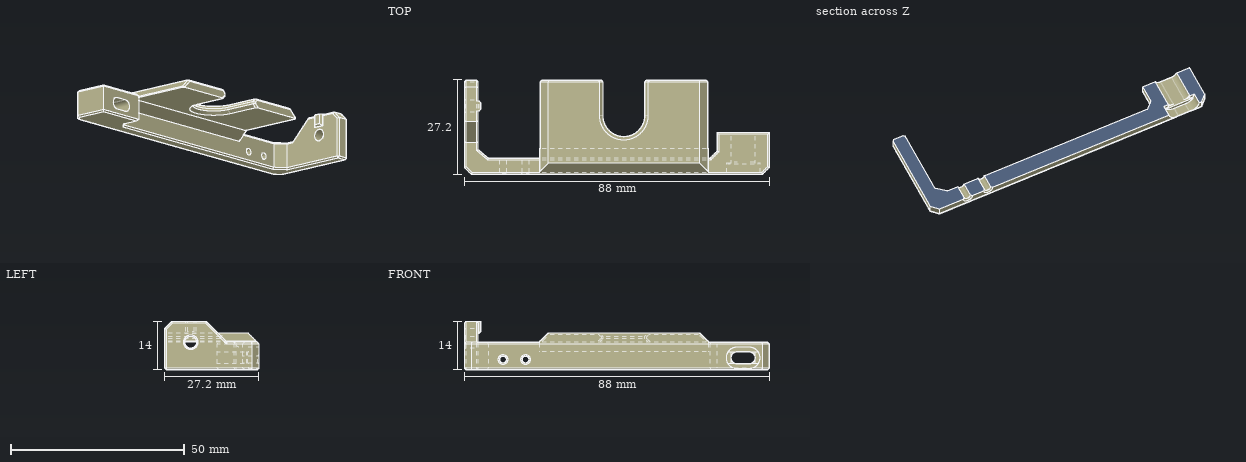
import cadquery as cq

length = 88.0
depth = 27.2
wall_height = 14.0
bar_height = 8.0
bar_thickness = 4.7
edge_chamfer = 0.5
corner_chamfer = 2.0

wall_thickness = 4.0
wall_back_chamfer = 2.0
wall_slope_top_y = 15.2
inner_corner_run = 2.9
inner_corner_rise = 2.45

pad_start_x = 72.9
pad_depth = 12.1
pad_corner_leg = 2.0

plate_center_x = 46.05
plate_width = 48.4
plate_top = 10.7
plate_rim = 0.35
plate_start_x = plate_center_x - plate_width / 2
plate_end_x = plate_center_x + plate_width / 2
gusset_leg = 2.7
gusset_width = 48.8

notch_radius = 6.0
notch_chamfer = 1.0
notch_center_x = 46.0
notch_center_y = 16.9

wall_hole_diameter = 3.4
wall_hole_y = 19.7
wall_hole_z = 8.0
wall_hole_chamfer = 0.4
rib_width = 3.0
rib_reach = 0.8
rib_bottom = 10.5
rib_chamfer = 0.6

small_hole_diameter = 1.9
small_hole_first_x = 11.15
small_hole_pitch = 6.5
small_hole_count = 2
small_hole_z = 3.0
small_hole_chamfer = 0.45

slot_center_x = 80.4
slot_center_z = 3.5
slot_width = 3.4
slot_travel = 3.5
recess_width = 6.2
recess_depth = 3.0
step_height = 0.3


def make_frame():
    """Bar, end wall and pad as one chamfered outline, with the wall standing above the bar."""
    outline = (
        cq.Workplane("XY")
        .moveTo(corner_chamfer, 0)
        .lineTo(length - corner_chamfer, 0)
        .lineTo(length, corner_chamfer)
        .lineTo(length, pad_depth)
        .lineTo(pad_start_x, pad_depth)
        .lineTo(pad_start_x, bar_thickness + pad_corner_leg)
        .lineTo(pad_start_x - pad_corner_leg, bar_thickness)
        .lineTo(wall_thickness + inner_corner_run, bar_thickness)
        .lineTo(wall_thickness, bar_thickness + inner_corner_rise)
        .lineTo(wall_thickness, depth)
        .lineTo(0, depth)
        .lineTo(0, corner_chamfer)
        .close()
        .extrude(wall_height)
    )
    wall_slope_run = wall_height - bar_height
    wall_space = (
        cq.Workplane("YZ")
        .moveTo(0, 0)
        .lineTo(depth, 0)
        .lineTo(depth, wall_height - wall_back_chamfer)
        .lineTo(depth - wall_back_chamfer, wall_height)
        .lineTo(wall_slope_top_y, wall_height)
        .lineTo(wall_slope_top_y - wall_slope_run, bar_height)
        .lineTo(0, bar_height)
        .close()
        .extrude(wall_thickness)
    )
    bar_space = cq.Workplane("XY").box(length, depth, bar_height, centered=False)
    frame = outline.intersect(bar_space.union(wall_space))
    chamfered = cq.selectors.StringSyntaxSelector("(not |Z) or >Y")
    wall_creases = cq.selectors.BoxSelector(
        (edge_chamfer, bar_thickness, bar_height - edge_chamfer),
        (wall_thickness - edge_chamfer, depth + edge_chamfer, wall_height + edge_chamfer),
    )
    return frame.edges(chamfered - wall_creases).chamfer(edge_chamfer)


def make_rib():
    """Snap rib at the top inside of the end wall, chamfered on its sides and underside."""
    block = cq.Workplane("XY").box(
        wall_thickness + rib_reach - edge_chamfer,
        rib_width,
        wall_height - rib_bottom,
        centered=(False, True, False),
    )
    block = block.faces(">X").edges("|Z or <Z").chamfer(rib_chamfer)
    return block.translate((edge_chamfer, wall_hole_y, rib_bottom))


def make_plate():
    """Cover plate with 45 degree slopes on its front and both sides and a notch in its back edge."""
    slope_height = plate_top - bar_height - plate_rim
    cross_section = (
        cq.Workplane("XZ")
        .moveTo(plate_start_x, bar_height)
        .lineTo(plate_end_x, bar_height)
        .lineTo(plate_end_x, bar_height + plate_rim)
        .lineTo(plate_end_x - slope_height, plate_top)
        .lineTo(plate_start_x + slope_height, plate_top)
        .lineTo(plate_start_x, bar_height + plate_rim)
        .close()
        .extrude(-depth)
    )
    side_profile = (
        cq.Workplane("YZ")
        .moveTo(edge_chamfer, bar_height)
        .lineTo(depth, bar_height)
        .lineTo(depth, plate_top)
        .lineTo(edge_chamfer + plate_top - bar_height, plate_top)
        .close()
        .extrude(length)
    )
    notch = (
        cq.Workplane("XY")
        .moveTo(notch_center_x - notch_radius, depth)
        .lineTo(notch_center_x - notch_radius, notch_center_y)
        .threePointArc(
            (notch_center_x, notch_center_y - notch_radius),
            (notch_center_x + notch_radius, notch_center_y),
        )
        .lineTo(notch_center_x + notch_radius, depth)
        .close()
        .extrude(wall_height)
    )
    plate = cross_section.intersect(side_profile).cut(notch)
    reach = notch_radius + notch_chamfer
    notch_region = cq.selectors.BoxSelector(
        (notch_center_x - reach, notch_center_y - reach, 0),
        (notch_center_x + reach, depth - notch_chamfer, wall_height),
    )
    plate = plate.edges(notch_region).edges("#Z").chamfer(notch_chamfer)
    return plate.faces(">Y").edges("not <Z").chamfer(edge_chamfer)


def make_gusset():
    """Low seat on the bar that carries the plate, with a 45 degree gusset behind the bar."""
    seat_top = bar_height + plate_rim
    return (
        cq.Workplane("YZ")
        .moveTo(edge_chamfer, bar_height)
        .lineTo(bar_thickness - edge_chamfer, bar_height - edge_chamfer)
        .lineTo(bar_thickness - edge_chamfer, bar_height - gusset_leg)
        .lineTo(bar_thickness, bar_height - gusset_leg)
        .lineTo(bar_thickness + gusset_leg, bar_height)
        .lineTo(bar_thickness + gusset_leg, seat_top)
        .lineTo(edge_chamfer + plate_rim, seat_top)
        .close()
        .extrude(gusset_width)
        .translate((plate_center_x - gusset_width / 2, 0, 0))
    )


def make_wall_hole():
    """Hole through the end wall, chamfered on its outer side."""
    hole = (
        cq.Workplane("YZ")
        .center(wall_hole_y, wall_hole_z)
        .circle(wall_hole_diameter / 2)
        .extrude(wall_thickness + rib_reach)
    )
    countersink = make_countersink("YZ", wall_hole_y, wall_hole_z, wall_hole_diameter, wall_hole_chamfer)
    return hole.union(countersink)


def make_countersink(plane, u, v, diameter, chamfer):
    """45 degree cone that widens a hole towards the outer face."""
    direction = 1 if plane == "YZ" else -1
    return (
        cq.Workplane(plane)
        .center(u, v)
        .circle(diameter / 2 + chamfer)
        .workplane(offset=direction * chamfer)
        .circle(diameter / 2)
        .loft()
    )


def make_small_hole(x):
    """Screw hole through the bar, chamfered on the front."""
    hole = (
        cq.Workplane("XZ")
        .center(x, small_hole_z)
        .circle(small_hole_diameter / 2)
        .extrude(-bar_thickness)
    )
    countersink = make_countersink("XZ", x, small_hole_z, small_hole_diameter, small_hole_chamfer)
    return hole.union(countersink)


def obround(width, end_y):
    """Horizontal slot shape cut from the front face back to end_y."""
    return (
        cq.Workplane("XZ")
        .center(slot_center_x, slot_center_z)
        .slot2D(slot_travel + width, width)
        .extrude(-end_y)
    )


def make_pad_slot():
    """Through slot with a recess; two thin steps lead from the recess to the slot."""
    first_step = obround(recess_width, recess_depth + step_height).intersect(
        cq.Workplane("XY")
        .box(length, depth, slot_width)
        .translate((slot_center_x, 0, slot_center_z))
    )
    second_step_end = recess_depth + 2 * step_height
    second_step = (
        cq.Workplane("XY")
        .box(slot_travel + slot_width, second_step_end, slot_width, centered=(True, False, True))
        .translate((slot_center_x, 0, slot_center_z))
    )
    return (
        obround(recess_width, recess_depth)
        .union(first_step)
        .union(second_step)
        .union(obround(slot_width, pad_depth))
    )


result = make_frame().union(make_rib()).union(make_plate()).union(make_gusset())
result = result.cut(make_wall_hole()).cut(make_pad_slot())
for hole_index in range(small_hole_count):
    result = result.cut(make_small_hole(small_hole_first_x + hole_index * small_hole_pitch))